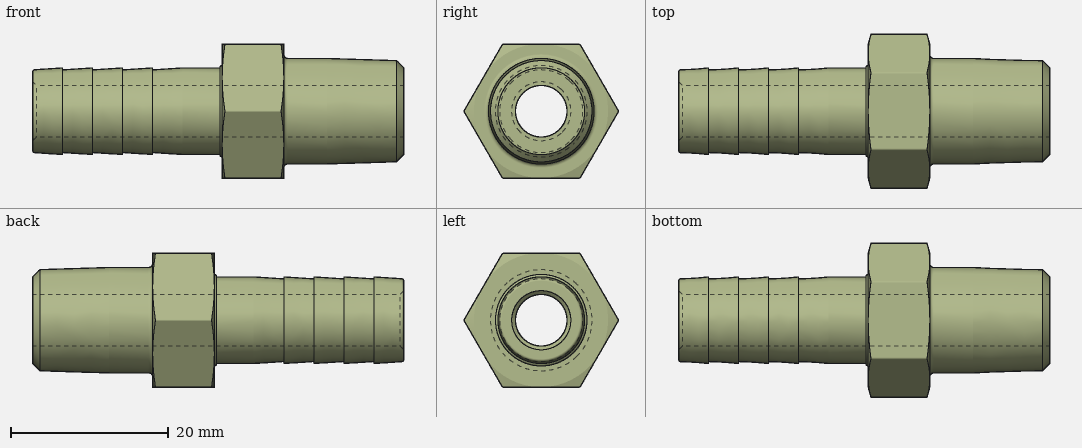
import cadquery as cq
import math

barb_count = 5
barb_pitch = 3.8
barb_diameter = 11.0
barb_root_diameter = 10.5
barb_edge_fillet = 0.1
tip_fillet = 0.3
shank_fillet = 0.3

hex_start = 24.0
hex_width = 7.8
hex_across_flats = 17.0
hex_edge_fillet = 0.3
hex_chamfer_angle = 15.0

total_length = 47.0
thread_length = 9.7
thread_diameter = 13.39
thread_taper = 1 / 16
thread_tip_diameter = 11.0
thread_fillet = 0.5

bore_diameter = 6.5
bore_chamfer = 0.5

hex_end = hex_start + hex_width
hex_across_corners = hex_across_flats / math.cos(math.radians(30))


def make_hex():
    """Hexagon with flats facing +Z and -Z, rounded edges and bevelled corners."""
    prism = (
        cq.Workplane("YZ", origin=(hex_start, 0, 0))
        .polygon(6, hex_across_corners)
        .extrude(hex_width)
        .edges("|X")
        .fillet(hex_edge_fillet)
    )
    face_radius = hex_across_flats / 2
    corner_radius = hex_across_corners / 2
    bevel = (corner_radius - face_radius) * math.tan(math.radians(hex_chamfer_angle))
    envelope = (
        cq.Workplane("XZ")
        .moveTo(hex_start, 0)
        .lineTo(hex_start, face_radius)
        .lineTo(hex_start + bevel, corner_radius)
        .lineTo(hex_end - bevel, corner_radius)
        .lineTo(hex_end, face_radius)
        .lineTo(hex_end, 0)
        .close()
        .revolve(360, (0, 0, 0), (1, 0, 0))
    )
    return prism.intersect(envelope)


def make_shank():
    """Barbed shank with a rounded tip and a concave fillet where it meets the hexagon."""
    crest = barb_diameter / 2
    root = barb_root_diameter / 2
    profile = cq.Workplane("XZ").lineTo(0, root)
    for barb in range(1, barb_count):
        back_face = barb * barb_pitch
        profile = profile.lineTo(back_face, crest).lineTo(back_face, root)
    shank = (
        profile.lineTo(barb_count * barb_pitch, crest)
        .lineTo(hex_start - shank_fillet, crest)
        .radiusArc((hex_start, crest + shank_fillet), shank_fillet)
        .lineTo(hex_start, 0)
        .close()
        .revolve(360, (0, 0, 0), (1, 0, 0))
    )
    shank = shank.edges("<X").fillet(tip_fillet)
    zone_start = barb_pitch - 2 * barb_edge_fillet
    zone_end = (barb_count - 1) * barb_pitch + 2 * barb_edge_fillet
    barb_zone = cq.selectors.BoxSelector(
        (zone_start, -crest, -crest), (zone_end, crest, crest)
    )
    return shank.edges("%CIRCLE").edges(barb_zone).fillet(barb_edge_fillet)


def make_thread_end():
    """Plain neck, tapered thread envelope and end chamfer."""
    neck_radius = thread_diameter / 2
    taper_start = total_length - thread_length
    tip_radius = thread_tip_diameter / 2
    taper_slope = thread_taper / 2
    taper_end_radius = neck_radius - thread_length * taper_slope
    chamfer_length = (taper_end_radius - tip_radius) / (1 - taper_slope)
    return (
        cq.Workplane("XZ")
        .moveTo(hex_end, 0)
        .lineTo(hex_end, neck_radius + thread_fillet)
        .radiusArc((hex_end + thread_fillet, neck_radius), -thread_fillet)
        .lineTo(taper_start, neck_radius)
        .lineTo(total_length - chamfer_length, tip_radius + chamfer_length)
        .lineTo(total_length, tip_radius)
        .lineTo(total_length, 0)
        .close()
        .revolve(360, (0, 0, 0), (1, 0, 0))
    )


def make_bore():
    """Through bore, countersunk at the hose end."""
    bore_radius = bore_diameter / 2
    return (
        cq.Workplane("XZ")
        .lineTo(0, bore_radius + bore_chamfer)
        .lineTo(bore_chamfer, bore_radius)
        .lineTo(total_length, bore_radius)
        .lineTo(total_length, 0)
        .close()
        .revolve(360, (0, 0, 0), (1, 0, 0))
    )


result = make_hex().union(make_shank()).union(make_thread_end()).cut(make_bore())